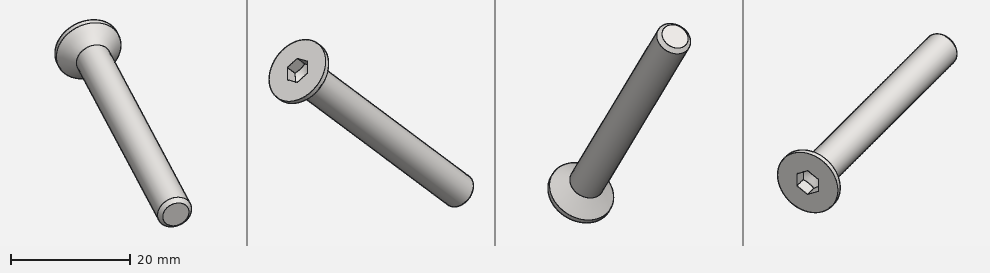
import cadquery as cq
import math

length = 50.0
head_diameter = 11.35
shank_diameter = 6.0
rim_thickness = 0.95
end_chamfer = 0.7
socket_across_flats = 4.0
socket_depth = 2.3
socket_tip_angle = 120.0

head_radius = head_diameter / 2
shank_radius = shank_diameter / 2
head_height = rim_thickness + head_radius - shank_radius


def screw_body():
    """Head, shank and end chamfer, revolved about X."""
    profile = [
        (0, 0),
        (0, head_radius),
        (rim_thickness, head_radius),
        (head_height, shank_radius),
        (length - end_chamfer, shank_radius),
        (length, shank_radius - end_chamfer),
        (length, 0),
    ]
    return cq.Workplane("XY").polyline(profile).close().revolve(360, (0, 0, 0), (1, 0, 0))


def hex_socket():
    """Hexagonal recess with corners up and down along Z and a conical bottom."""
    corner_radius = socket_across_flats / math.sqrt(3)
    tip_height = corner_radius / math.tan(math.radians(socket_tip_angle / 2))
    hexagon = (
        cq.Workplane("YZ")
        .polygon(6, 2 * corner_radius)
        .extrude(socket_depth + tip_height)
        .rotate((0, 0, 0), (1, 0, 0), 30)
    )
    pointed_limit = (
        cq.Workplane("XY")
        .polyline([
            (0, 0),
            (0, corner_radius),
            (socket_depth, corner_radius),
            (socket_depth + tip_height, 0),
        ])
        .close()
        .revolve(360, (0, 0, 0), (1, 0, 0))
    )
    return hexagon.intersect(pointed_limit)


result = screw_body().cut(hex_socket())